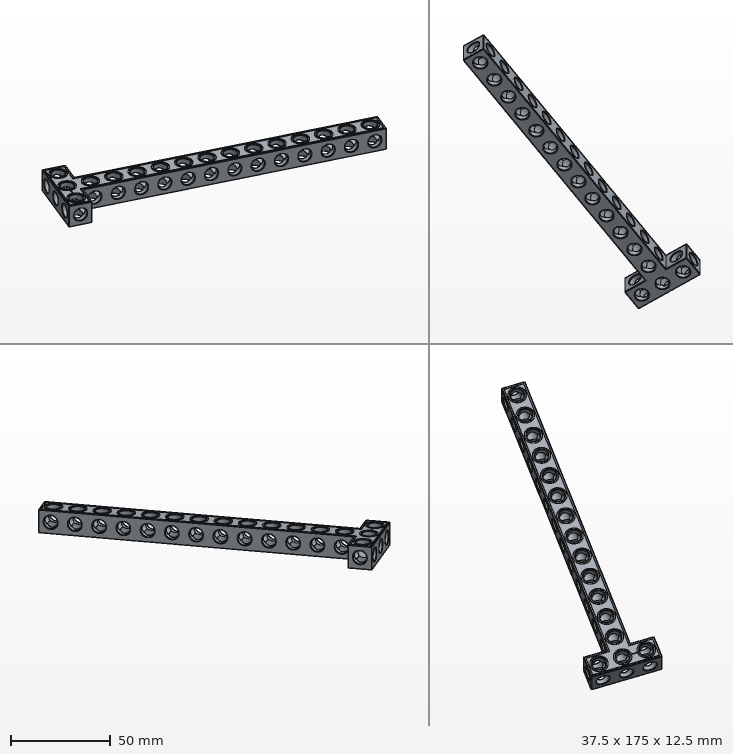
import cadquery as cq

length = 175.0
row_count = 14
crossbar_count = 3
hole_diameter = 7.0
edge_chamfer = 0.32
rim_width = 1.1
recess_depth = 0.21
ridge_width = 0.2
ring_diameter = hole_diameter + 2 * rim_width

pitch = length / row_count
crossbar_width = crossbar_count * pitch
first_row = -length / 2 + pitch / 2
column_places = [(i - (crossbar_count - 1) / 2) * pitch for i in range(crossbar_count)]
row_places = [first_row + i * pitch for i in range(row_count)]
cell_centres = [(x, first_row) for x in column_places]
cell_centres += [(0, y) for y in row_places[1:]]


def tee(height, inset=0):
    """T-shaped block with its outline moved inward by the inset."""
    stem = cq.Workplane("XY").box(pitch - 2 * inset, length - 2 * inset, height)
    crossbar = cq.Workplane("XY").box(crossbar_width - 2 * inset, pitch - 2 * inset, height)
    return stem.union(crossbar.translate((0, first_row, 0)))


def top_recess():
    """Shallow pocket inside the rim, keeping a ring around every hole and a ridge between two rings."""
    pocket = tee(recess_depth, rim_width)
    rings = cq.Workplane("XY").pushPoints(cell_centres).circle(ring_diameter / 2).extrude(pitch, both=True)
    ridge = cq.Workplane("XY").box(pitch, ridge_width, pitch).translate((pitch / 2, first_row, 0))
    return pocket.cut(rings).cut(ridge).translate((0, 0, (pitch - recess_depth) / 2))


def drill(plane, places, span):
    """Holes along the plane normal through a centred span, bevelled at both mouths."""
    radius = hole_diameter / 2
    mouth = radius + edge_chamfer
    end = span / 2
    straight_end = end - edge_chamfer
    lower = [(0, -end), (mouth, -end), (radius, -straight_end)]
    upper = [(radius, straight_end), (mouth, end), (0, end)]
    drill_bit = cq.Workplane("XZ").polyline(lower + upper).close().revolve(360, (0, 0), (0, 1)).val()
    return cq.Workplane(plane).pushPoints(places).eachpoint(drill_bit, useLocalCoordinates=True)


body = tee(pitch).edges("(not |Z) or <X or >X or >Y").chamfer(edge_chamfer)
body = body.cut(top_recess())
body = body.cut(drill("XY", cell_centres, pitch))
body = body.cut(drill("YZ", [(first_row, 0)], crossbar_width))
body = body.cut(drill("YZ", [(y, 0) for y in row_places[1:]], pitch))

body = body.cut(drill("XZ", [(0, 0)], length))
outer_places = [(column_places[0], 0), (column_places[-1], 0)]
body = body.cut(drill("XZ", outer_places, pitch).translate((0, first_row, 0)))

result = body